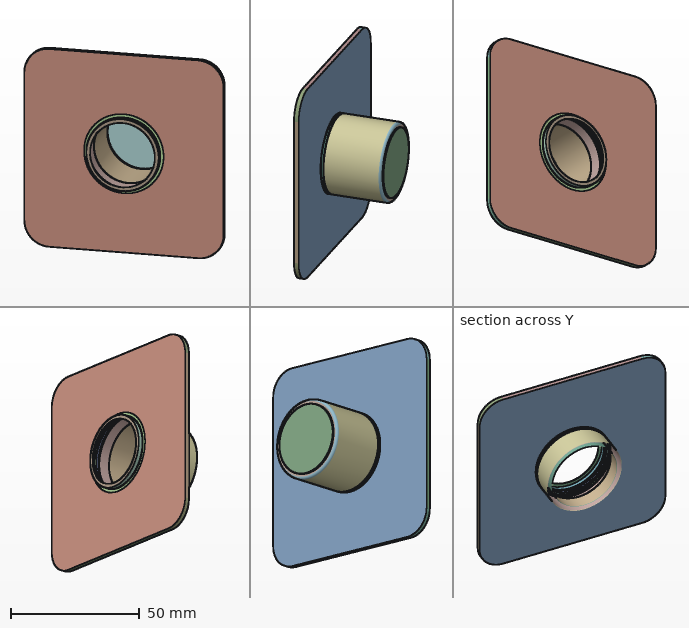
import cadquery as cq

plate_side = 80.0
plate_thickness = 2.0
plate_corner_radius = 10.0

wall = 0.2
barrel_radius = 16.0
barrel_length = 24.0
barrel_back_fillet = 1.0
neck_radius = 15.5
neck_length = 1.1
boss_radius = 14.7
boss_height = 2.15
boss_edge_fillet = 0.3
mouth_radius = 13.0
collar_radius = barrel_radius

rib_height = 0.1
rib_width = 0.9

cup_wall = 0.2
cup_radius = 14.0
cup_front = 7.0
cup_projection = 0.47
cup_back_fillet = 0.25

boss_front = -boss_height
neck_end = plate_thickness + neck_length
barrel_back = neck_end + barrel_length
cup_back = barrel_back + cup_projection


def disc(radius, start, end):
    """Solid cylinder along +Y between two Y positions."""
    return cq.Workplane("XZ", origin=(0, start, 0)).circle(radius).extrude(start - end)


def make_plate():
    plate = cq.Workplane("XZ").rect(plate_side, plate_side).extrude(-plate_thickness)
    plate = plate.edges("|Y").fillet(plate_corner_radius)
    return plate.cut(disc(collar_radius, 0, plate_thickness))


def make_housing_outside():
    boss = disc(boss_radius, boss_front, 0).faces("<Y").edges().fillet(boss_edge_fillet)
    collar = disc(collar_radius, 0, plate_thickness)
    neck = disc(neck_radius, plate_thickness, neck_end)
    barrel = disc(barrel_radius, neck_end, barrel_back).faces(">Y").edges().fillet(barrel_back_fillet)
    return boss.union(collar).union(neck).union(barrel)


def make_housing_cavity():
    lip_back = boss_front + wall
    boss_bore = boss_radius - wall
    rib_bore = boss_bore - rib_height
    neck_bore = neck_radius - wall
    barrel_bore = barrel_radius - wall
    shoulder_back = neck_end + wall
    rear_wall_front = barrel_back - wall
    fillet_start = barrel_back - barrel_back_fillet
    fillet_end = barrel_radius - barrel_back_fillet
    inner_fillet = barrel_back_fillet - wall
    return (
        cq.Workplane("XY")
        .moveTo(0, boss_front)
        .lineTo(mouth_radius, boss_front)
        .lineTo(mouth_radius, lip_back)
        .lineTo(boss_bore, lip_back)
        .lineTo(boss_bore, 0)
        .lineTo(rib_bore, 0)
        .lineTo(rib_bore, rib_width)
        .lineTo(boss_bore, rib_width)
        .lineTo(boss_bore, plate_thickness)
        .lineTo(neck_bore, plate_thickness)
        .lineTo(neck_bore, shoulder_back)
        .lineTo(barrel_bore, shoulder_back)
        .lineTo(barrel_bore, fillet_start)
        .radiusArc((fillet_end, rear_wall_front), -inner_fillet)
        .lineTo(cup_radius, rear_wall_front)
        .lineTo(cup_radius, barrel_back)
        .lineTo(0, barrel_back)
        .close()
        .revolve(360, (0, 0, 0), (0, 1, 0))
    )


def make_housing():
    return make_housing_outside().cut(make_housing_cavity())


def make_cup():
    cup = disc(cup_radius, cup_front, cup_back).faces(">Y").edges().fillet(cup_back_fillet)
    return cup.cut(disc(cup_radius - cup_wall, cup_front, cup_back - cup_wall))


plate = make_plate()
housing = make_housing()
cup = make_cup()

result = cq.Compound.makeCompound([plate.val(), housing.val(), cup.val()])